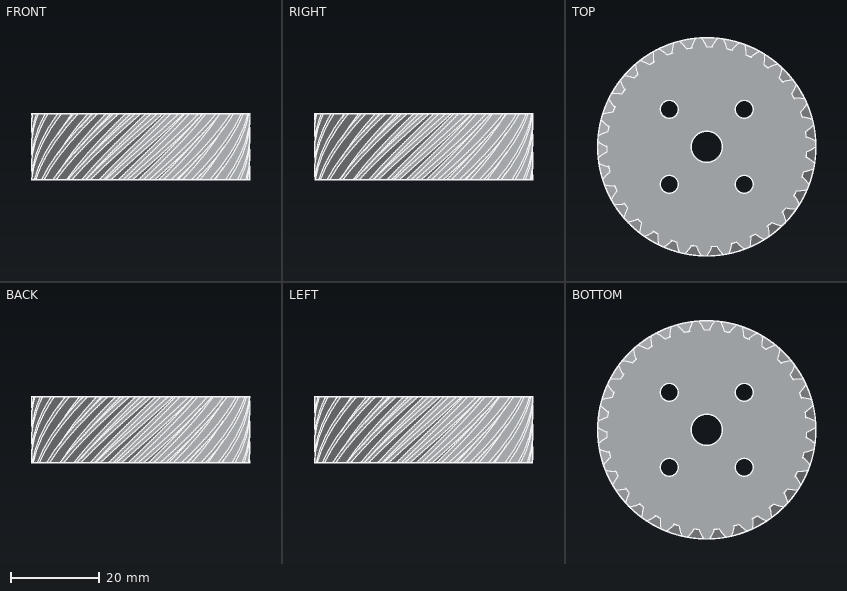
import cadquery as cq
import math

TOOTH_COUNT = 31
TIP_DIAMETER = 49.47
TIP_RADIUS = TIP_DIAMETER / 2
TOOTH_DEPTH = 2.1
ROOT_RADIUS = TIP_RADIUS - TOOTH_DEPTH
MIDDLE_RADIUS = TIP_RADIUS - TOOTH_DEPTH / 2
FACE_WIDTH = 15.0

TIP_FILL = 0.25
MIDDLE_FILL = 0.52
ROOT_FILL = 0.75

NORMAL_MODULE = 1.0
HELIX_ANGLE = 45.0
REFERENCE_RADIUS = NORMAL_MODULE * TOOTH_COUNT / math.cos(math.radians(HELIX_ANGLE)) / 2
TWIST_ANGLE = math.degrees(FACE_WIDTH * math.tan(math.radians(HELIX_ANGLE)) / REFERENCE_RADIUS)

BORE_DIAMETER = 7.0
BOLT_HOLE_DIAMETER = 4.0
BOLT_HOLE_COUNT = 4
BOLT_CIRCLE_RADIUS = 12.0
FIRST_BOLT_ANGLE = 45.0

PITCH_ANGLE = 360.0 / TOOTH_COUNT
FIRST_TOOTH_ANGLE = -PITCH_ANGLE / 4


def polar(radius, angle):
    """Point at a radius and an angle in degrees."""
    return (radius * math.cos(math.radians(angle)), radius * math.sin(math.radians(angle)))


def gear_profile():
    """Closed tooth outline: arcs for the flanks, tips and roots."""
    half_tip = TIP_FILL * PITCH_ANGLE / 2
    half_middle = MIDDLE_FILL * PITCH_ANGLE / 2
    half_root = ROOT_FILL * PITCH_ANGLE / 2
    outline = cq.Workplane("XY").moveTo(*polar(ROOT_RADIUS, FIRST_TOOTH_ANGLE - half_root))
    for tooth in range(TOOTH_COUNT):
        center = FIRST_TOOTH_ANGLE + tooth * PITCH_ANGLE
        tip_start = polar(TIP_RADIUS, center - half_tip)
        tip_end = polar(TIP_RADIUS, center + half_tip)
        root_start = polar(ROOT_RADIUS, center + half_root)
        root_end = polar(ROOT_RADIUS, center + PITCH_ANGLE - half_root)
        outline = outline.threePointArc(polar(MIDDLE_RADIUS, center - half_middle), tip_start)
        outline = outline.threePointArc(polar(TIP_RADIUS, center), tip_end)
        outline = outline.threePointArc(polar(MIDDLE_RADIUS, center + half_middle), root_start)
        outline = outline.threePointArc(polar(ROOT_RADIUS, center + PITCH_ANGLE / 2), root_end)
    return outline.close()


def through_holes():
    """Cutters for the central bore and the ring of bolt holes."""
    bore = cq.Workplane("XY").circle(BORE_DIAMETER / 2).extrude(FACE_WIDTH)
    bolts = (
        cq.Workplane("XY")
        .polarArray(BOLT_CIRCLE_RADIUS, FIRST_BOLT_ANGLE, 360, BOLT_HOLE_COUNT)
        .circle(BOLT_HOLE_DIAMETER / 2)
        .extrude(FACE_WIDTH)
    )
    return bore.add(bolts).combine()


gear = gear_profile().twistExtrude(FACE_WIDTH, TWIST_ANGLE)
result = gear.cut(through_holes())